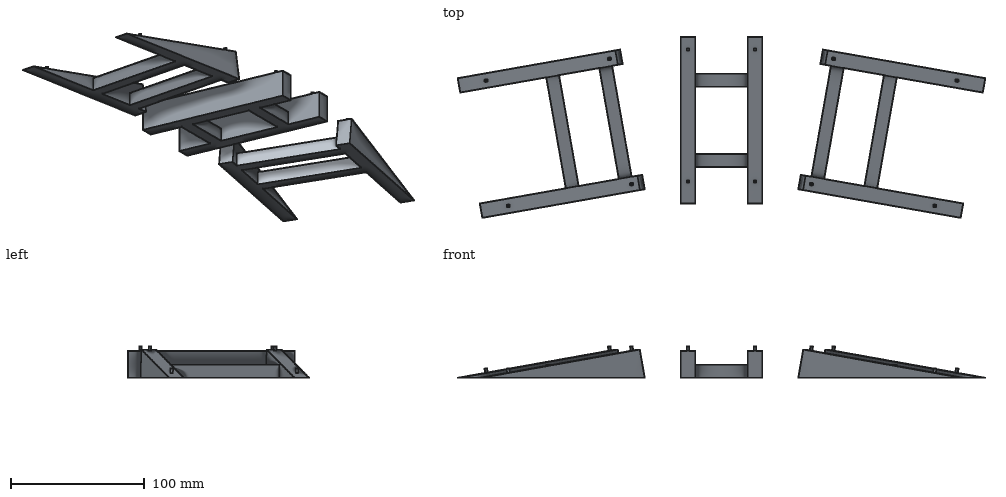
import cadquery as cq
import math

BAR_WIDTH = 11.0
CROSS_WIDTH = 10.0
CROSS_HEIGHT = 10.0
PIN_DIAMETER = 2.0
PIN_HEIGHT = 3.35

RAIL_LENGTH = 125.0
RAIL_HEIGHT = 20.0
RAIL_PITCH = 50.0
LEVEL_CROSS_SPACING = 60.0
LEVEL_PIN_SPACING = 98.8
LEVEL_PIN_SHIFT = 3.5

RAMP_ANGLE = 10.0
RAMP_TURN = 10.0
SLOPE_LENGTH = 121.5
WEDGE_PITCH = 95.2
RAMP_CROSS_POSITIONS = (70.5, 110.5)
RAMP_PIN_POSITIONS = (21.5, 116.5)
OVERALL_LENGTH = 395.0
OVERALL_DEPTH = 135.5

slope_cos = math.cos(math.radians(RAMP_ANGLE))
slope_sin = math.sin(math.radians(RAMP_ANGLE))
turn_cos = math.cos(math.radians(RAMP_TURN))
turn_sin = math.sin(math.radians(RAMP_TURN))

tip_half_width = (WEDGE_PITCH + BAR_WIDTH) / 2
tip_x = -OVERALL_LENGTH / 2 + tip_half_width * turn_sin
tip_y = RAIL_LENGTH / 2 - OVERALL_DEPTH + tip_half_width * turn_cos


def bar(length, width, height, x, y):
    """Rectangular bar standing on the ground, centred at (x, y)."""
    return cq.Workplane("XY").box(length, width, height, centered=(True, True, False)).translate((x, y, 0))


def pin(x, y, z, direction):
    """Locating pin that stands on a face at the given point."""
    face = cq.Plane(origin=(x, y, z), xDir=(0, 1, 0), normal=direction)
    return cq.Workplane(face).circle(PIN_DIAMETER / 2).extrude(PIN_HEIGHT)


def make_level_frame():
    """Two upright rails joined by two cross bars, with a pin near each rail end."""
    frame = cq.Workplane("XY")
    for y in (-LEVEL_CROSS_SPACING / 2, LEVEL_CROSS_SPACING / 2):
        frame = frame.union(bar(RAIL_PITCH, CROSS_WIDTH, CROSS_HEIGHT, 0, y))
    for x in (-RAIL_PITCH / 2, RAIL_PITCH / 2):
        frame = frame.union(bar(BAR_WIDTH, RAIL_LENGTH, RAIL_HEIGHT, x, 0))
        for y in (-LEVEL_PIN_SPACING / 2, LEVEL_PIN_SPACING / 2):
            frame = frame.union(pin(x, y + LEVEL_PIN_SHIFT, RAIL_HEIGHT, (0, 0, 1)))
    return frame.solids().val()


def make_wedge(y):
    """Ramp wedge with its tip at x = 0 and its heel face square to the slope."""
    heel_top = (SLOPE_LENGTH * slope_cos, SLOPE_LENGTH * slope_sin)
    heel_bottom = (SLOPE_LENGTH / slope_cos, 0)
    profile = cq.Workplane("XZ", origin=(0, y, 0)).polyline([(0, 0), heel_bottom, heel_top]).close()
    return profile.extrude(BAR_WIDTH / 2, both=True)


def make_left_ramp():
    """Two wedges joined by two cross bars, turned and moved to the left of the level frame."""
    frame = cq.Workplane("XY")
    for x in RAMP_CROSS_POSITIONS:
        frame = frame.union(bar(CROSS_WIDTH, WEDGE_PITCH - BAR_WIDTH, CROSS_HEIGHT, x, 0))
    for y in (-WEDGE_PITCH / 2, WEDGE_PITCH / 2):
        frame = frame.union(make_wedge(y))
        for distance in RAMP_PIN_POSITIONS:
            foot_x = distance * slope_cos
            foot_z = distance * slope_sin
            frame = frame.union(pin(foot_x, y, foot_z, (-slope_sin, 0, slope_cos)))
    placed = frame.rotate((0, 0, 0), (0, 0, 1), RAMP_TURN).translate((tip_x, tip_y, 0))
    return placed.solids().val()


level_frame = make_level_frame()
left_ramp = make_left_ramp()
right_ramp = left_ramp.mirror("YZ")

result = cq.Compound.makeCompound([level_frame, left_ramp, right_ramp])